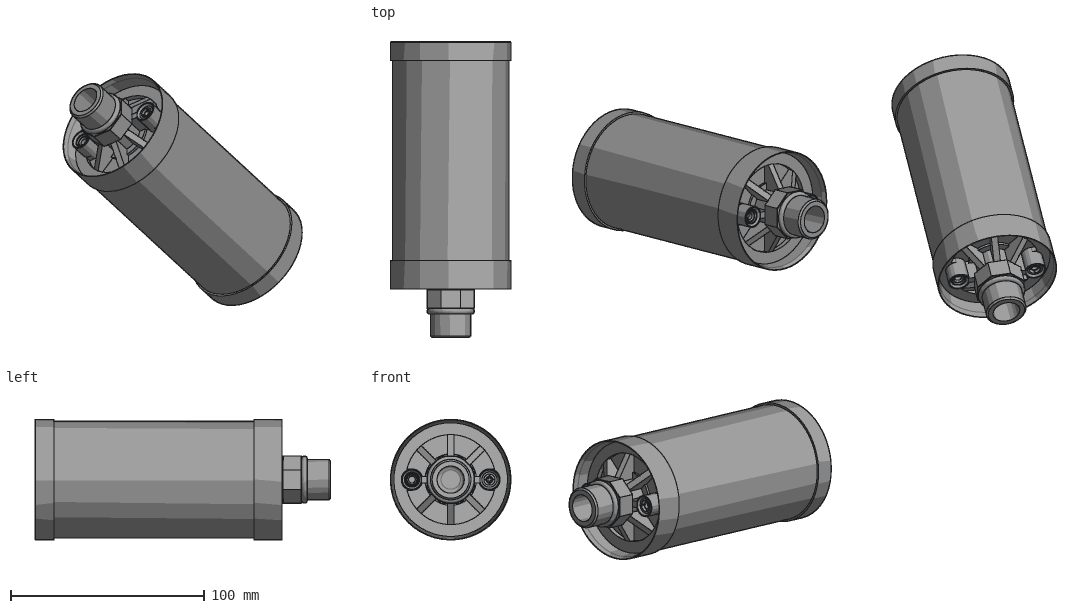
import cadquery as cq
import math

LENGTH = 153.0
CAP_DIAMETER = 62.5
TUBE_DIAMETER = 60.5

RIM_Y = 25.1
FRONT_CAP_LENGTH = 14.7
REAR_CAP_LENGTH = 9.8
TUBE_START_Y = RIM_Y + FRONT_CAP_LENGTH
TUBE_END_Y = LENGTH - REAR_CAP_LENGTH
REAR_CAP_CHAMFER = 0.3

RIM_DIAMETER = 61.8
MOUTH_DIAMETER = 60.5
CUP_DIAMETER = 58.8
MOUTH_TAPER_DEPTH = 2.8
RING_DEPTH = 8.7
RING_Y = RIM_Y + RING_DEPTH
POCKET_RADIUS = 23.3
POCKET_DEPTH = 2.9
POCKET_Y = RING_Y + POCKET_DEPTH
HUB_RADIUS = 10.0
HUB_Y = 24.6
COLLAR_DIAMETER = 26.6
COLLAR_HEIGHT = 1.4
RIB_COUNT = 8
RIB_WIDTH = 3.4
BOSS_OFFSET = 20.0
BOSS_DIAMETER = 11.0
BOSS_CONE_DIAMETER = 10.0
BOSS_BORE_DIAMETER = 7.8
BOSS_CONE_DEPTH = 1.0
BOSS_Y = 25.2
STRUT_Y = RIM_Y
STRUT_SPAN = 2 * BOSS_OFFSET - BOSS_CONE_DIAMETER

OCTAGON_SIDES = 8
OCTAGON_FLATS = 24.5
OCTAGON_CHAMFER = 0.23
OCTAGON_Y = 15.0
SPIGOT_DIAMETER = 21.0
SPIGOT_TIP_DIAMETER = 19.1
SPIGOT_CHAMFER = (SPIGOT_DIAMETER - SPIGOT_TIP_DIAMETER) / 2
BORE_DIAMETER = 14.0
BORE_FLOOR_DIAMETER = 10.0
BORE_FILLET = (BORE_DIAMETER - BORE_FLOOR_DIAMETER) / 2
BORE_DEPTH = 18.4

ORING_SECTION = 2.9
ORING_DIAMETER = 24.5
ORING_Y = OCTAGON_Y - ORING_SECTION / 2
ORING_RADIUS = (ORING_DIAMETER - ORING_SECTION) / 2

INSERT_Y = BOSS_Y + BOSS_CONE_DEPTH
INSERT_DEPTH = 6.1
INSERT_RIM_DIAMETER = 5.8
INSERT_RIM_DEPTH = 0.8
INSERT_FLOOR_Y = INSERT_Y + INSERT_RIM_DEPTH
SOCKET_LEAD_DIAMETER = 6.7
SOCKET_CONE_DIAMETER = 5.0
SOCKET_BORE_DIAMETER = 3.5
SOCKET_CONE_DEPTH = 0.8
SOCKET_DEPTH = 3.0
SPOKE_HUB_DIAMETER = 3.5
SPOKE_CONE_DIAMETER = 3.0
SPOKE_HOLE_DIAMETER = 1.7
SPOKE_WIDTH = 0.5
SPOKE_DEPTH = 1.5


def cylinder(diameter, start_y, end_y, x=0.0):
    """Solid cylinder along Y."""
    plane = cq.Plane(origin=(x, start_y, 0), xDir=(1, 0, 0), normal=(0, 1, 0))
    return cq.Workplane(plane).circle(diameter / 2).extrude(end_y - start_y)


def cone(start_diameter, end_diameter, start_y, end_y, x=0.0):
    """Solid cone frustum along Y."""
    axis = cq.Vector(0, 1, 0)
    origin = cq.Vector(x, start_y, 0)
    solid = cq.Solid.makeCone(start_diameter / 2, end_diameter / 2, end_y - start_y, origin, axis)
    return cq.Workplane(obj=solid)


def make_rear_cap():
    cap = cylinder(CAP_DIAMETER, TUBE_END_Y, LENGTH)
    return cap.faces(">Y").chamfer(REAR_CAP_CHAMFER)


def make_tube():
    return cylinder(TUBE_DIAMETER, TUBE_START_Y, TUBE_END_Y)


def make_rib(angle):
    """Rib from the hub to the pocket wall; its front edge slopes back towards the wall."""
    profile = [
        (0, POCKET_Y),
        (0, HUB_Y),
        (HUB_RADIUS, HUB_Y),
        (POCKET_RADIUS, RING_Y),
        (POCKET_RADIUS, POCKET_Y),
    ]
    rib = cq.Workplane("XY").polyline(profile).close().extrude(RIB_WIDTH / 2, both=True)
    return rib.rotate((0, 0, 0), (0, 1, 0), angle)


def make_strut():
    """Flat-fronted rib that runs through the hub from boss to boss."""
    strut = cq.Workplane("XY").box(STRUT_SPAN, POCKET_Y - STRUT_Y, RIB_WIDTH)
    return strut.translate((0, (STRUT_Y + POCKET_Y) / 2, 0))


def make_cup():
    """Cap blank with a tapered mouth, a ring-shaped floor and a round pocket in the floor."""
    wall_y = RIM_Y + MOUTH_TAPER_DEPTH
    cup = cylinder(CAP_DIAMETER, RIM_Y, TUBE_START_Y)
    cup = cup.cut(cone(RIM_DIAMETER, MOUTH_DIAMETER, RIM_Y, wall_y))
    cup = cup.cut(cone(MOUTH_DIAMETER, CUP_DIAMETER, wall_y, RING_Y))
    return cup.cut(cylinder(2 * POCKET_RADIUS, RING_Y, POCKET_Y))


def make_boss(side):
    """Solid boss, with a bridge that joins it to the ring-shaped floor."""
    x = side * BOSS_OFFSET
    bridge = cq.Workplane("XY").box(BOSS_DIAMETER / 2, POCKET_DEPTH, BOSS_DIAMETER)
    bridge = bridge.translate((x + side * BOSS_DIAMETER / 4, RING_Y + POCKET_DEPTH / 2, 0))
    return cylinder(BOSS_DIAMETER, BOSS_Y, POCKET_Y, x).union(bridge)


def make_boss_bore(x):
    """Countersunk seat for an insert."""
    countersink = cone(BOSS_CONE_DIAMETER, BOSS_BORE_DIAMETER, BOSS_Y, INSERT_Y, x)
    return countersink.union(cylinder(BOSS_BORE_DIAMETER, INSERT_Y, INSERT_Y + INSERT_DEPTH, x))


def make_front_cap():
    cap = make_cup()
    cap = cap.union(cylinder(2 * HUB_RADIUS, HUB_Y, POCKET_Y))
    cap = cap.union(cylinder(COLLAR_DIAMETER, POCKET_Y - COLLAR_HEIGHT, POCKET_Y))
    cap = cap.union(make_strut())
    for index in range(RIB_COUNT):
        angle = index * 360 / RIB_COUNT
        if angle % 180 != 0:
            cap = cap.union(make_rib(angle))
    for side in (-1, 1):
        cap = cap.union(make_boss(side))
        cap = cap.cut(make_boss_bore(side * BOSS_OFFSET))
    return cap


def make_oring():
    center = cq.Vector(0, ORING_Y, 0)
    ring = cq.Solid.makeTorus(ORING_RADIUS, ORING_SECTION / 2, center, cq.Vector(0, 1, 0))
    return cq.Workplane(obj=ring)


def make_fitting(oring):
    plane = cq.Plane(origin=(0, OCTAGON_Y, 0), xDir=(1, 0, 0), normal=(0, 1, 0))
    corner_diameter = OCTAGON_FLATS / math.cos(math.pi / OCTAGON_SIDES)
    octagon = cq.Workplane(plane).polygon(OCTAGON_SIDES, corner_diameter).extrude(HUB_Y - OCTAGON_Y)
    octagon = octagon.rotate((0, 0, 0), (0, 1, 0), 180 / OCTAGON_SIDES)
    octagon = octagon.faces("<Y").chamfer(OCTAGON_CHAMFER)
    spigot = cylinder(SPIGOT_DIAMETER, 0, OCTAGON_Y).faces("<Y").chamfer(SPIGOT_CHAMFER)
    bore = cylinder(BORE_DIAMETER, 0, BORE_DEPTH)
    bore = bore.faces(">Y").edges().fillet(BORE_FILLET)
    return octagon.union(spigot).cut(bore).cut(oring)


def make_insert(x):
    """Plain insert with a shallow round recess in its front face."""
    insert = cylinder(BOSS_BORE_DIAMETER, INSERT_Y, INSERT_Y + INSERT_DEPTH, x)
    return insert.cut(cylinder(INSERT_RIM_DIAMETER, INSERT_Y, INSERT_FLOOR_Y, x))


def make_socket_insert(x):
    """Insert with a tapered lead-in and a countersunk blind hole."""
    cone_end_y = INSERT_FLOOR_Y + SOCKET_CONE_DEPTH
    insert = make_insert(x)
    insert = insert.cut(cone(SOCKET_LEAD_DIAMETER, INSERT_RIM_DIAMETER, INSERT_Y, INSERT_FLOOR_Y, x))
    insert = insert.cut(cone(SOCKET_CONE_DIAMETER, SOCKET_BORE_DIAMETER, INSERT_FLOOR_Y, cone_end_y, x))
    return insert.cut(cylinder(SOCKET_BORE_DIAMETER, INSERT_FLOOR_Y, INSERT_FLOOR_Y + SOCKET_DEPTH, x))


def make_spoked_insert(x):
    """Insert whose deeper recess holds a tapered hub ring on four thin spokes."""
    end_y = INSERT_FLOOR_Y + SPOKE_DEPTH
    insert = make_insert(x)
    insert = insert.cut(cylinder(INSERT_RIM_DIAMETER, INSERT_FLOOR_Y, end_y, x))
    spoke = cq.Workplane("XY").box(INSERT_RIM_DIAMETER, SPOKE_DEPTH, SPOKE_WIDTH)
    spokes = spoke.union(spoke.rotate((0, 0, 0), (0, 1, 0), 90))
    insert = insert.union(spokes.translate((x, INSERT_FLOOR_Y + SPOKE_DEPTH / 2, 0)))
    insert = insert.union(cylinder(SPOKE_HUB_DIAMETER, INSERT_FLOOR_Y, end_y, x))
    return insert.cut(cone(SPOKE_CONE_DIAMETER, SPOKE_HOLE_DIAMETER, INSERT_FLOOR_Y, end_y, x))


rear_cap = make_rear_cap()
tube = make_tube()
front_cap = make_front_cap()
oring = make_oring()
fitting = make_fitting(oring)
socket_insert = make_socket_insert(-BOSS_OFFSET)
spoked_insert = make_spoked_insert(BOSS_OFFSET)

result = cq.Compound.makeCompound(
    [
        rear_cap.val(),
        tube.val(),
        front_cap.val(),
        fitting.val(),
        oring.val(),
        socket_insert.val(),
        spoked_insert.val(),
    ]
)